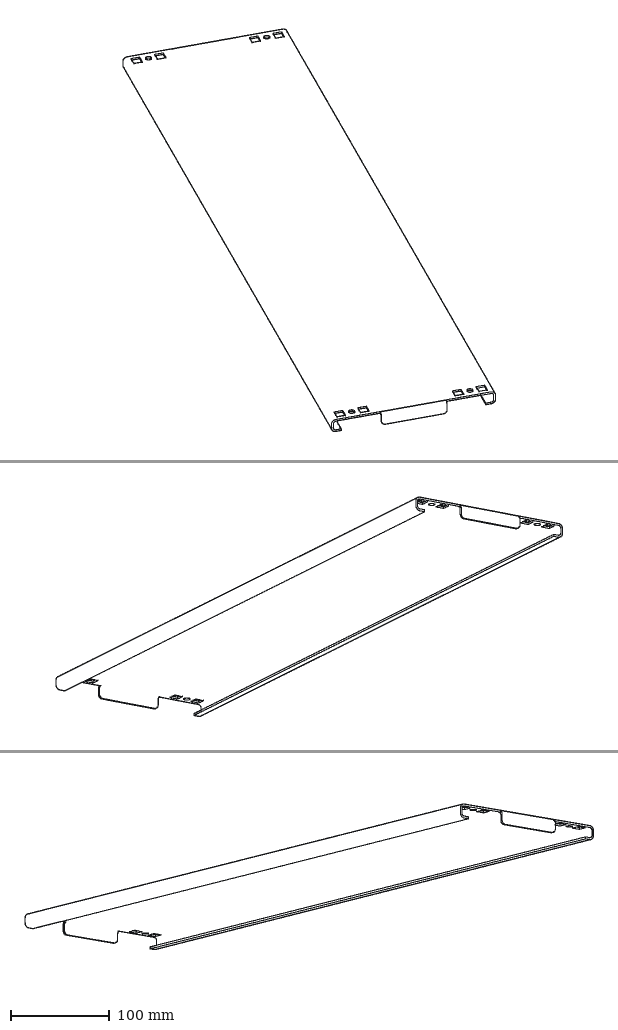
import cadquery as cq

total_length = 699.0
width = 175.0
height = 15.0
sheet = 2.0
bend_radius = 5.0
tab_overhang = 3.0
shelf_length = total_length - 2 * tab_overhang

lip_width = 10.5

tab_width = 70.0
tab_corner_radius = 4.0
tab_bend_reach = 5.0

hole_inset = 9.0
square_size = 9.0
round_diameter = 6.0
round_offset = 63.0
square_spacing = 12.5


def box(x_range, y_range, z_range):
    """Box between the given limits."""
    size = [high - low for low, high in (x_range, y_range, z_range)]
    corner = (x_range[0], y_range[0], z_range[0])
    return cq.Workplane("XY").box(*size, centered=False).translate(corner)


def make_shelf():
    """Flat sheet with both long sides folded down and then inward."""
    half_width = width / 2
    inner_half_width = half_width - sheet
    lip_end = half_width - lip_width
    half_length = shelf_length / 2
    ends = (-half_length, half_length)

    outer = box(ends, (-half_width, half_width), (0, height))
    outer = outer.edges("|X").fillet(bend_radius)
    cavity = box(ends, (-inner_half_width, inner_half_width), (sheet, height - sheet))
    cavity = cavity.edges("|X").fillet(bend_radius - sheet)
    opening = box(ends, (-lip_end, lip_end), (0, height / 2))
    return outer.cut(cavity).cut(opening)


def make_tab():
    """Tab at the +X end, bent down from the sheet."""
    outer_face = total_length / 2
    inner_face = outer_face - sheet
    root = outer_face - tab_bend_reach
    inside_radius = bend_radius - sheet
    profile = (
        cq.Workplane("XZ")
        .moveTo(root, height)
        .radiusArc((outer_face, height - bend_radius), bend_radius)
        .lineTo(outer_face, 0)
        .lineTo(inner_face, 0)
        .lineTo(inner_face, height - bend_radius)
        .radiusArc((root, height - sheet), -inside_radius)
        .close()
    )
    tab = profile.extrude(tab_width / 2, both=True)
    return tab.edges("|X and <Z").fillet(tab_corner_radius)


def make_corner_holes():
    """Cutters for a round hole between two square holes at each corner."""
    hole_x = shelf_length / 2 - hole_inset
    cutters = cq.Workplane("XY")
    for x in (-hole_x, hole_x):
        for side in (-1, 1):
            plane = cq.Workplane("XY", origin=(x, side * round_offset, height / 2))
            squares = plane.pushPoints([(0, -square_spacing), (0, square_spacing)])
            cutters = cutters.add(squares.rect(square_size, square_size).extrude(height))
            cutters = cutters.add(plane.circle(round_diameter / 2).extrude(height))
    return cutters.combine()


right_tab = make_tab()
left_tab = right_tab.mirror("YZ")
result = make_shelf().union(right_tab).union(left_tab).cut(make_corner_holes())